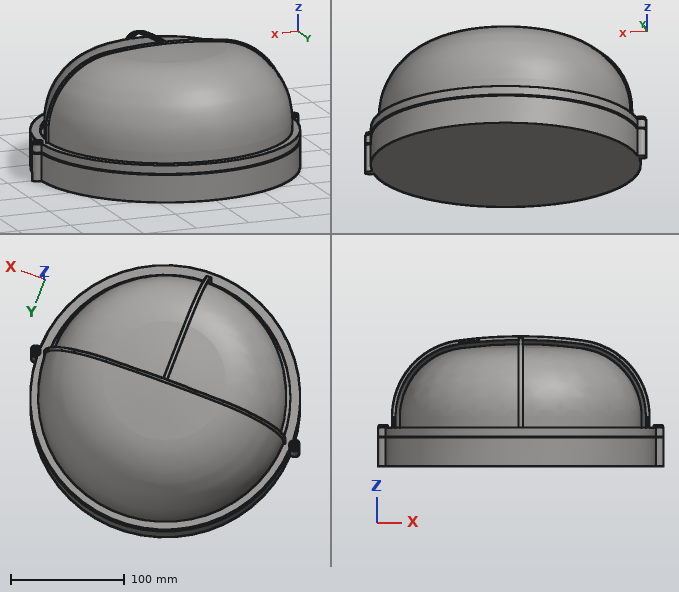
import cadquery as cq
import math

base_radius = 119.55
base_height = 34.2
joint_height = 25.3
joint_width = 1.0
joint_depth = 0.3
trough_depth = 3.8

shoulder_center_r = 45.8
shoulder_center_z = 43.8
crown_slope = math.radians(7.7)
glass_shoulder = 61.2
cover_shoulder = 66.8
cover_wall = 1.8
cover_inner_shoulder = cover_shoulder - cover_wall
trough_radius = shoulder_center_r + cover_inner_shoulder
root_z = base_height - trough_depth

bead_radius = 1.5
bead_y = 1.4
guard_width = 3.5

column_radius = 4.3
column_x = 126.5 - column_radius
screw_x = 121.7
screw_y = 1.0
screw_radius = 4.0
screw_height = 2.3
screw_chamfer = 0.8
recess_length = 4.8
recess_width = 1.3
recess_depth = 1.3


def shoulder_point(shoulder_radius, angle):
    """Point (r, z) on the shoulder arc, with the angle measured from the vertical axis."""
    r = shoulder_center_r + shoulder_radius * math.sin(angle)
    z = shoulder_center_z + shoulder_radius * math.cos(angle)
    return r, z


def crown_point(shoulder_radius, angle):
    """Point (r, z) on the crown sphere, which is tangent to the end of the shoulder arc."""
    crown_r, crown_z = shoulder_point(shoulder_radius, crown_slope)
    sphere_radius = crown_r / math.sin(crown_slope)
    center_z = crown_z - sphere_radius * math.cos(crown_slope)
    return sphere_radius * math.sin(angle), center_z + sphere_radius * math.cos(angle)


def dome(shoulder_radius):
    """Solid of revolution standing on the trough floor."""
    wall_r = shoulder_center_r + shoulder_radius
    middle_angle = (crown_slope + math.pi / 2) / 2
    return (
        cq.Workplane("XZ")
        .moveTo(0, root_z)
        .lineTo(wall_r, root_z)
        .lineTo(wall_r, shoulder_center_z)
        .threePointArc(
            shoulder_point(shoulder_radius, middle_angle),
            shoulder_point(shoulder_radius, crown_slope),
        )
        .threePointArc(
            crown_point(shoulder_radius, crown_slope / 2),
            crown_point(shoulder_radius, 0),
        )
        .close()
        .revolve(360, (0, 0), (0, 1))
    )


def base_layer(bottom_z, height, inset):
    """Slice of the drum and its two screw columns, with the outline moved in by inset."""
    drum = cq.Workplane("XY", origin=(0, 0, bottom_z)).circle(base_radius - inset).extrude(height)
    columns = (
        cq.Workplane("XY", origin=(0, 0, bottom_z))
        .slot2D(2 * (column_x + column_radius - inset), 2 * (column_radius - inset))
        .extrude(height)
    )
    return drum.union(columns)


def make_base():
    """Drum with two screw columns, a thin joint groove all round and a trough around the glass."""
    joint_top = joint_height + joint_width
    trough = cq.Workplane("XY", origin=(0, 0, root_z)).circle(trough_radius).extrude(trough_depth)
    return (
        base_layer(0, joint_height, 0)
        .union(base_layer(joint_height, joint_width, joint_depth))
        .union(base_layer(joint_top, base_height - joint_top, 0))
        .cut(trough)
    )


def make_edge_bead():
    """Round wire along the cut edge of the half cover, on its outer surface."""
    wall_r = shoulder_center_r + cover_shoulder
    middle_angle = (crown_slope + math.pi / 2) / 2
    arc_middle = shoulder_point(cover_shoulder, middle_angle)
    arc_end = shoulder_point(cover_shoulder, crown_slope)
    apex = crown_point(cover_shoulder, 0)
    path = (
        cq.Workplane("XZ", origin=(0, bead_y, 0))
        .moveTo(-wall_r, root_z)
        .lineTo(-wall_r, shoulder_center_z)
        .threePointArc((-arc_middle[0], arc_middle[1]), (-arc_end[0], arc_end[1]))
        .threePointArc(apex, arc_end)
        .threePointArc(arc_middle, (wall_r, shoulder_center_z))
        .lineTo(wall_r, root_z)
    )
    return cq.Workplane("XY", origin=(-wall_r, bead_y, root_z)).circle(bead_radius).sweep(path)


def make_screw_head(x):
    """Chamfered screw head with a cross recess."""
    head = (
        cq.Workplane("XY", origin=(x, screw_y, base_height))
        .circle(screw_radius)
        .extrude(screw_height)
        .faces(">Z")
        .chamfer(screw_chamfer)
    )
    for length_x, length_y in ((recess_length, recess_width), (recess_width, recess_length)):
        arm = (
            cq.Workplane("XY", origin=(x, screw_y, base_height + screw_height - recess_depth))
            .rect(length_x, length_y)
            .extrude(recess_depth)
        )
        head = head.cut(arm)
    return head


cover_shell = dome(cover_shoulder).cut(dome(cover_inner_shoulder))
span = 2 * base_radius
rear_half = cq.Workplane("XY").box(span, base_radius, span, centered=(True, False, False))
front_strip = (
    cq.Workplane("XY")
    .center(0, -base_radius / 2)
    .box(guard_width, base_radius, span, centered=(True, True, False))
)

result = (
    make_base()
    .union(dome(glass_shoulder))
    .union(cover_shell.intersect(rear_half))
    .union(cover_shell.intersect(front_strip))
    .union(make_edge_bead())
)
for side in (-1, 1):
    result = result.union(make_screw_head(side * screw_x))